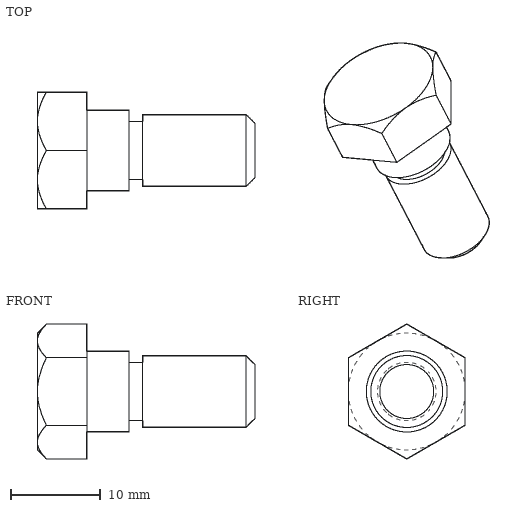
import cadquery as cq
import math

head_sides = 6
across_flats = 13.0
across_corners = across_flats / math.cos(math.pi / head_sides)
head_height = 5.5
head_chamfer_angle = 45.0

shoulder_diameter = 9.0
shoulder_length = 4.7
relief_diameter = 6.5
relief_length = 1.5
thread_diameter = 8.0
tip_chamfer = 1.0
overall_length = 24.2

shoulder_end = head_height + shoulder_length
relief_end = shoulder_end + relief_length


def make_head():
    """Hexagonal prism with corners on +Z and -Z, its outer corners cut by a cone."""
    prism = cq.Workplane("YZ").polygon(head_sides, across_corners).extrude(head_height)
    prism = prism.rotate((0, 0, 0), (1, 0, 0), 90)
    face_radius = across_flats / 2
    slope = math.tan(math.radians(head_chamfer_angle))
    cone_end_radius = face_radius + head_height * slope
    cone = (
        cq.Workplane("XY")
        .lineTo(0, face_radius)
        .lineTo(head_height, cone_end_radius)
        .lineTo(head_height, 0)
        .close()
        .revolve(360, (0, 0, 0), (1, 0, 0))
    )
    return prism.intersect(cone)


def make_cylinder(start, end, diameter):
    """Cylinder on the bolt axis between two X positions."""
    return cq.Workplane("YZ", origin=(start, 0, 0)).circle(diameter / 2).extrude(end - start)


shoulder = make_cylinder(head_height, shoulder_end, shoulder_diameter)
relief = make_cylinder(shoulder_end, relief_end, relief_diameter)
thread = make_cylinder(relief_end, overall_length, thread_diameter)
thread = thread.faces(">X").chamfer(tip_chamfer)

result = make_head().union(shoulder).union(relief).union(thread)